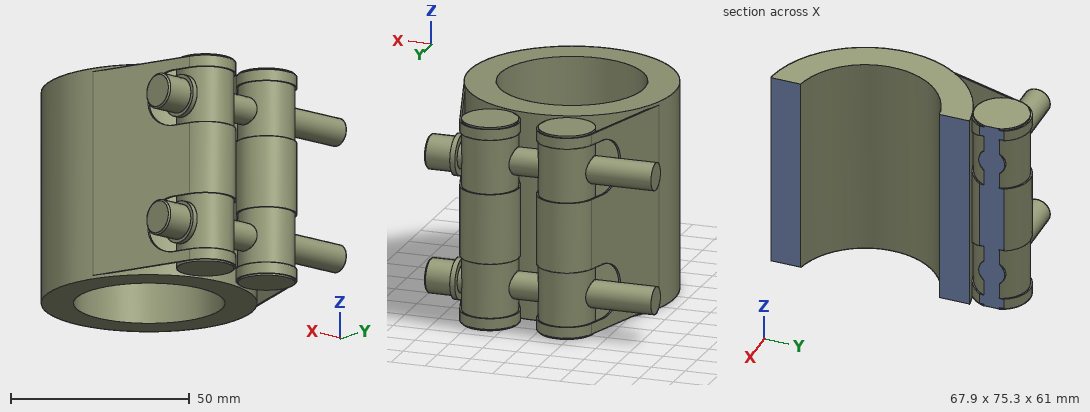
import cadquery as cq
import math

SLEEVE_RADIUS = 60.4 / 2
BORE_DIAMETER = 42.4
SLEEVE_HEIGHT = 61.0

PIN_RADIUS = 16.0 / 2
PIN_HEIGHT = 60.0
PIN_X = 11.4
PIN_Y = 36.6

STRAP_THICKNESS = 0.5
STRAP_HEIGHT = 59.0
STRAP_RADIUS = PIN_RADIUS + STRAP_THICKNESS

SLOT_WIDTH = 16.0
SLOT_ROUND_Y = 34.1

SCREW_DIAMETER = 8.0
SCREW_Z = 18.3
SCREW_START_X = -37.65
WASHER_DIAMETER = 12.0
WASHER_START_X = 19.7
WASHER_THICKNESS = 1.5
HEAD_DIAMETER = 10.0
HEAD_LENGTH = 8.0
HEAD_CHAMFER = 0.45


def centred_cylinder(diameter, height, x=0, y=0):
    """Cylinder along Z, centred on the XY plane."""
    return cq.Workplane("XY").center(x, y).circle(diameter / 2).extrude(height / 2, both=True)


def x_cylinder(diameter, start_x, length, z):
    """Cylinder along X in line with the pin centres."""
    return cq.Workplane("YZ", origin=(start_x, PIN_Y, z)).circle(diameter / 2).extrude(length)


def polar(radius, angle, center=(0, 0)):
    """Point at a radius and angle from a centre."""
    return (center[0] + radius * math.cos(angle), center[1] + radius * math.sin(angle))


def left_strap():
    """Band tangent to the sleeve, wrapped over the left pin and back down to the sleeve."""
    pin = (-PIN_X, PIN_Y)
    pin_direction = math.atan2(PIN_Y, -PIN_X)
    pin_distance = math.hypot(PIN_X, PIN_Y)
    tangent = pin_direction + math.acos((SLEEVE_RADIUS - STRAP_RADIUS) / pin_distance)
    wrap_end = pin_direction - math.pi
    wrap_middle = (tangent + wrap_end) / 2
    return (
        cq.Workplane("XY")
        .moveTo(*polar(SLEEVE_RADIUS, tangent))
        .lineTo(*polar(STRAP_RADIUS, tangent, pin))
        .threePointArc(polar(STRAP_RADIUS, wrap_middle, pin), polar(STRAP_RADIUS, wrap_end, pin))
        .lineTo(*polar(PIN_RADIUS, wrap_end, pin))
        .threePointArc(polar(PIN_RADIUS, wrap_middle, pin), polar(PIN_RADIUS, tangent, pin))
        .lineTo(*polar(SLEEVE_RADIUS - STRAP_THICKNESS, tangent))
        .close()
        .extrude(STRAP_HEIGHT / 2, both=True)
    )


def slot_cutter(z):
    """Slot along X with a round lower end, open past the far side of the strap."""
    half_span = SLEEVE_RADIUS
    open_length = PIN_Y + 2 * STRAP_RADIUS - SLOT_ROUND_Y
    slot_plane = cq.Workplane("YZ", origin=(0, SLOT_ROUND_Y, z))
    round_end = slot_plane.circle(SLOT_WIDTH / 2).extrude(half_span, both=True)
    straight = slot_plane.center(open_length / 2, 0).rect(open_length, SLOT_WIDTH)
    return round_end.union(straight.extrude(half_span, both=True))


def screw(z):
    """Shank, washer and chamfered head."""
    head_start_x = WASHER_START_X + WASHER_THICKNESS
    shank = x_cylinder(SCREW_DIAMETER, SCREW_START_X, head_start_x - SCREW_START_X, z)
    washer = x_cylinder(WASHER_DIAMETER, WASHER_START_X, WASHER_THICKNESS, z)
    head = x_cylinder(HEAD_DIAMETER, head_start_x, HEAD_LENGTH, z)
    head = head.faces(">X").chamfer(HEAD_CHAMFER)
    return shank.union(washer).union(head)


strap = left_strap()
strap = strap.union(strap.mirror("YZ"))
for screw_z in (-SCREW_Z, SCREW_Z):
    strap = strap.cut(slot_cutter(screw_z))

result = centred_cylinder(2 * SLEEVE_RADIUS, SLEEVE_HEIGHT).union(strap)
for pin_x in (-PIN_X, PIN_X):
    result = result.union(centred_cylinder(2 * PIN_RADIUS, PIN_HEIGHT, pin_x, PIN_Y))
for screw_z in (-SCREW_Z, SCREW_Z):
    result = result.union(screw(screw_z))
result = result.cut(centred_cylinder(BORE_DIAMETER, SLEEVE_HEIGHT))